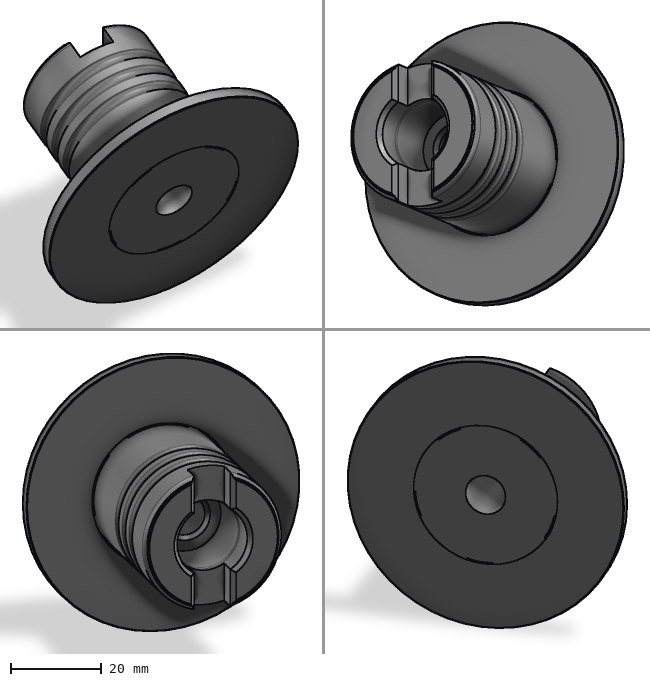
import cadquery as cq
import math

disc_diameter = 63.0
total_length = 40.0
front_x = -total_length / 2
back_x = total_length / 2

disc_thickness = 3.0
disc_hole_diameter = 32.75
disc_edge_chamfer = 0.2

sleeve_radius = 16.0

front_face_radius = 14.75
lip_edge_length = 0.1
lip_edge_radius = 14.9
lip_length = 0.5
shoulder_radius = 15.2
nose_length = 1.5

lug_count = 5
lug_gap_angle = 20.7
first_gap_angle = 49.5

groove_radius = 1.5
groove_depth = 0.75
groove_edge_fillet = 0.2
groove_count = 3
first_groove_distance = 10.0
groove_pitch = first_groove_distance / 2

bore_radius = 8.05
bore_chamfer = 1.0
front_bore_depth = 6.85
bore_taper_length = 0.5
bore_step = 0.1
bore_depth = 20.0
through_radius = 4.55
through_chamfer = 0.95

slot_width = 8.4
slot_depth = 5.7
slot_chamfer = 1.0


def make_disc():
    """Flat ring with lightly chamfered outer edges."""
    disc = (
        cq.Workplane("YZ", origin=(back_x - disc_thickness, 0, 0))
        .circle(disc_diameter / 2)
        .extrude(disc_thickness)
        .faces("<X or >X")
        .edges()
        .chamfer(disc_edge_chamfer)
    )
    hole = (
        cq.Workplane("YZ", origin=(back_x - disc_thickness, 0, 0))
        .circle(disc_hole_diameter / 2)
        .extrude(disc_thickness)
    )
    return disc.cut(hole)


def make_barrel():
    """Solid barrel with the bevelled lip and rounded shoulder of the nose."""
    return (
        cq.Workplane("XY")
        .moveTo(front_x, 0)
        .lineTo(back_x, 0)
        .lineTo(back_x, sleeve_radius)
        .lineTo(front_x + nose_length, sleeve_radius)
        .tangentArcPoint((front_x + lip_length, shoulder_radius), relative=False)
        .lineTo(front_x + lip_edge_length, lip_edge_radius)
        .lineTo(front_x, front_face_radius)
        .close()
        .revolve(360, (0, 0, 0), (1, 0, 0))
    )


def make_groove(distance):
    """Ring of round section that cuts one groove at a distance behind the front face."""
    centre_r = sleeve_radius - groove_depth + groove_radius
    return (
        cq.Workplane("XY")
        .center(front_x + distance, centre_r)
        .circle(groove_radius)
        .revolve(360, (0, -centre_r, 0), (1, -centre_r, 0))
    )


def cut_grooves(barrel):
    """Cut the row of grooves and round their edges."""
    for index in range(groove_count):
        barrel = barrel.cut(make_groove(first_groove_distance + index * groove_pitch))
    row_start = front_x + first_groove_distance - groove_pitch / 2
    row_end = row_start + groove_count * groove_pitch
    near_axis = groove_radius / 2
    groove_edges = cq.selectors.BoxSelector(
        (row_start, -near_axis, -near_axis),
        (row_end, near_axis, near_axis),
    )
    return barrel.edges(groove_edges).fillet(groove_edge_fillet)


def make_lugs():
    """Ring that fills the disc hole around the barrel, split into lugs by evenly spaced gaps."""
    hole_radius = disc_hole_diameter / 2
    ring = (
        cq.Workplane("YZ", origin=(back_x - disc_thickness, 0, 0))
        .circle(hole_radius)
        .circle(sleeve_radius)
        .extrude(disc_thickness)
    )
    reach = 2 * hole_radius
    half_spread = reach * math.tan(math.radians(lug_gap_angle / 2))
    wedge = (
        cq.Workplane("YZ", origin=(back_x - disc_thickness, 0, 0))
        .polyline([(0, 0), (reach, -half_spread), (reach, half_spread)])
        .close()
        .extrude(disc_thickness)
    )
    for index in range(lug_count):
        angle = first_gap_angle + index * 360 / lug_count
        ring = ring.cut(wedge.rotate((0, 0, 0), (1, 0, 0), angle))
    return ring


def make_bore():
    """Stepped bore with a chamfered mouth, a slight taper and a chamfered through hole."""
    inner_radius = bore_radius - bore_step
    floor_x = front_x + bore_depth
    profile = [
        (front_x, 0),
        (front_x, bore_radius + bore_chamfer),
        (front_x + bore_chamfer, bore_radius),
        (front_x + front_bore_depth, bore_radius),
        (front_x + front_bore_depth + bore_taper_length, inner_radius),
        (floor_x, inner_radius),
        (floor_x, through_radius + through_chamfer),
        (floor_x + through_chamfer, through_radius),
        (back_x, through_radius),
        (back_x, 0),
    ]
    return cq.Workplane("XY").polyline(profile).close().revolve(360, (0, 0, 0), (1, 0, 0))


def make_slot():
    """Slot along Z, open to the front, with chamfered mouth edges."""
    half_width = slot_width / 2
    profile = [
        (front_x, -half_width - slot_chamfer),
        (front_x + slot_chamfer, -half_width),
        (front_x + slot_depth, -half_width),
        (front_x + slot_depth, half_width),
        (front_x + slot_chamfer, half_width),
        (front_x, half_width + slot_chamfer),
    ]
    return cq.Workplane("XY").polyline(profile).close().extrude(sleeve_radius, both=True)


def make_sleeve():
    """Grooved barrel with its lugs added, then its bore and slot cut away."""
    sleeve = cut_grooves(make_barrel()).union(make_lugs())
    return sleeve.cut(make_bore()).cut(make_slot())


disc = make_disc()
sleeve = make_sleeve()

result = cq.Compound.makeCompound([disc.val(), sleeve.val()])